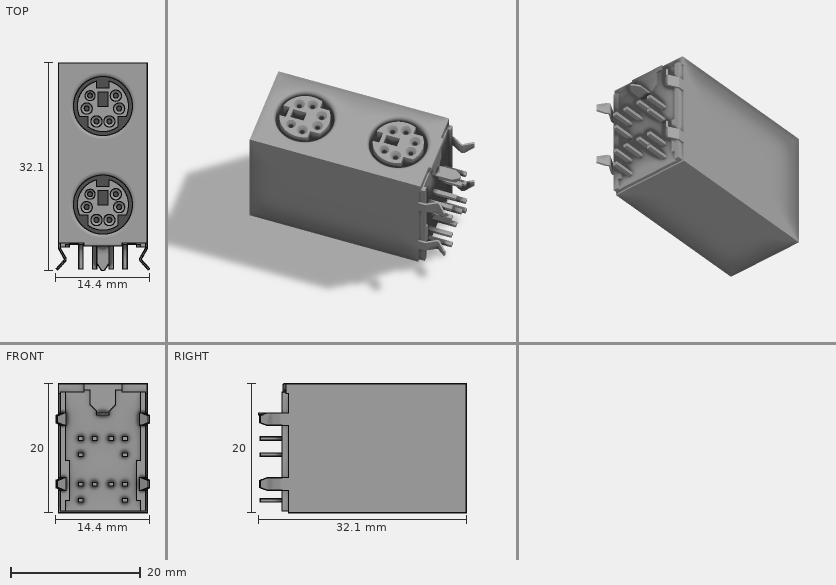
import cadquery as cq
import math


overall_width = 14.45
case_width = 13.75
case_height = 20.0
overall_length = 32.15
sheet = 0.3
tongue_reach = 4.63
case_length = overall_length - tongue_reach
lip_reach = 0.35
lip_height = 1.55
housing_half_width = case_width / 2 - sheet
housing_drop = 1.32
housing_top = case_height - housing_drop
face_reach = 0.55

rail_reach = 1.0
rail_inner_x = 5.8
wide_rail_inner_x = 5.18
wide_rail_bottom = 1.93
wide_rail_top = 8.07

tab_reach = 0.85
tab_half_width = 2.95
tab_drop = 1.0
tab_bend_radius = 0.3
plate_half_width = 1.95
plate_drop = 3.28
tongue_half_width = 0.95
tongue_drop = 4.82
point_start = 3.47
point_end = 4.4
point_half_width = 0.35

clip_width = 1.95
clip_tip_width = 1.03
clip_z = [case_height - drop for drop in (5.5, 15.53)]
clip_half_span = overall_width / 2
clip_bend_reach = 1.2
clip_knee_x = 5.9
clip_knee_reach = 2.9
clip_tip_reach = 4.3
clip_taper_start = 3.3
clip_inside_radius = 0.23

pin_reach = 4.37
pin_width = 0.7
pin_height = 0.55
outer_pin_x = 3.4
inner_pin_x = 1.3
upper_row_z = [case_height - drop for drop in (8.5, 15.55)]
row_spacing = 2.5

first_socket_y = 5.6
socket_count = 2
socket_spacing = 15.25
mouth_radius = 5.18
bore_radius = 4.55
mouth_round = mouth_radius - bore_radius
core_radius = 3.95
socket_depth = 7.07
key_half_width = 0.95
key_bottom_y = 2.8
notch_top_y = -1.65
notch_inner_x = 2.35
slot_width = 1.55
slot_height = 2.22
slot_bottom_y = -0.03
contact_radius = 0.4
contact_depth = 3.85
funnel_radius = 0.87
small_funnel_radius = 0.77
funnel_depth = 0.55
contacts = [
    (-2.0, 1.6, small_funnel_radius),
    (2.0, 1.6, funnel_radius),
    (-2.5, -0.4, funnel_radius),
    (2.5, -0.4, funnel_radius),
    (-1.0, -2.38, funnel_radius),
    (1.0, -2.38, funnel_radius),
]


def block(x_range, y_range, z_range):
    """Box between the given pairs of limits."""
    limits = (x_range, y_range, z_range)
    sizes = [high - low for low, high in limits]
    return cq.Workplane("XY").box(*sizes, centered=False).translate([low for low, high in limits])


def centered_block(half_width, y_range, z_range):
    """Box symmetric about the X = 0 plane."""
    return block((-half_width, half_width), y_range, z_range)


def mirrored_pair(solid):
    return solid.union(solid.mirror("YZ"))


def make_body():
    """Case with its upper front lip, and the housing face and rails."""
    case = centered_block(case_width / 2, (0, case_length), (0, case_height))
    lip = centered_block(case_width / 2, (-lip_reach, 0), (case_height - lip_height, case_height))
    lip = lip.cut(centered_block(
        housing_half_width, (-lip_reach, 0), (case_height - lip_height, housing_top)))
    housing = centered_block(housing_half_width, (-face_reach, sheet), (sheet, housing_top))
    rail = block((rail_inner_x, housing_half_width), (-rail_reach, 0), (sheet, housing_top))
    wide_rail = block(
        (wide_rail_inner_x, housing_half_width), (-rail_reach, 0), (wide_rail_bottom, wide_rail_top))
    housing = housing.union(centered_block(
        tab_half_width, (-face_reach, 0), (sheet, case_height - tab_drop)))
    return case.union(lip).union(housing).union(mirrored_pair(rail.union(wide_rail)))


def make_tongue():
    """Tab over the top edge, tapered plate down the face, and pointed tongue."""
    tab = centered_block(tab_half_width, (-tab_reach, 0), (case_height - tab_drop, case_height))
    tab = tab.edges("<Y and >Z").fillet(tab_bend_radius)

    taper_bottom = case_height - plate_drop - (plate_half_width - tongue_half_width)
    tongue_bottom = case_height - tongue_drop
    plate = (
        cq.Workplane("XZ", origin=(0, -face_reach, 0))
        .moveTo(-plate_half_width, case_height - tab_drop)
        .lineTo(-plate_half_width, case_height - plate_drop)
        .lineTo(-tongue_half_width, taper_bottom)
        .lineTo(-tongue_half_width, tongue_bottom)
        .lineTo(tongue_half_width, tongue_bottom)
        .lineTo(tongue_half_width, taper_bottom)
        .lineTo(plate_half_width, case_height - plate_drop)
        .lineTo(plate_half_width, case_height - tab_drop)
        .close()
        .extrude(tab_reach - face_reach)
    )
    tongue = (
        cq.Workplane("XY", origin=(0, 0, tongue_bottom))
        .moveTo(-tongue_half_width, -face_reach)
        .lineTo(-tongue_half_width, -point_start)
        .lineTo(-point_half_width, -point_end)
        .threePointArc((0, -tongue_reach), (point_half_width, -point_end))
        .lineTo(tongue_half_width, -point_start)
        .lineTo(tongue_half_width, -face_reach)
        .close()
        .extrude(sheet)
    )
    return tab.union(plate).union(tongue)


def make_clip():
    """Bent spring clip on the +X side, centred on Z = 0, narrowing to its tip."""
    outer_x = case_width / 2
    inner_x = outer_x - sheet
    first_lean = math.atan2(outer_x - clip_knee_x, clip_knee_reach - clip_bend_reach)
    second_lean = math.atan2(clip_half_span - clip_knee_x, clip_tip_reach - clip_knee_reach)
    inner_bend_y = -clip_bend_reach + sheet * math.tan(first_lean / 2)
    knee_miter = sheet / math.cos((first_lean + second_lean) / 2)
    miter_turn = (second_lean - first_lean) / 2
    inner_knee = (
        clip_knee_x - knee_miter * math.cos(miter_turn),
        -clip_knee_reach - knee_miter * math.sin(miter_turn),
    )
    inner_tip = (
        clip_half_span - sheet * math.cos(second_lean),
        -clip_tip_reach - sheet * math.sin(second_lean),
    )
    strip = (
        cq.Workplane("XY", origin=(0, 0, -clip_width / 2))
        .moveTo(outer_x, 0)
        .lineTo(outer_x, -clip_bend_reach)
        .lineTo(clip_knee_x, -clip_knee_reach)
        .lineTo(clip_half_span, -clip_tip_reach)
        .lineTo(*inner_tip)
        .lineTo(*inner_knee)
        .lineTo(inner_x, inner_bend_y)
        .lineTo(inner_x, 0)
        .close()
        .extrude(clip_width)
    )
    inside_corners = [(inner_x, inner_bend_y), (clip_knee_x, -clip_knee_reach)]
    outside_corners = [(outer_x, -clip_bend_reach), inner_knee]
    for corners, radius in ((inside_corners, clip_inside_radius),
                            (outside_corners, clip_inside_radius + sheet)):
        for corner in corners:
            bend_edge = cq.selectors.NearestToPointSelector((*corner, 0))
            strip = strip.edges(bend_edge).fillet(radius)
    clip_outline = (
        cq.Workplane("YZ")
        .moveTo(0, clip_width / 2)
        .lineTo(-clip_taper_start, clip_width / 2)
        .lineTo(inner_tip[1], clip_tip_width / 2)
        .lineTo(inner_tip[1], -clip_tip_width / 2)
        .lineTo(-clip_taper_start, -clip_width / 2)
        .lineTo(0, -clip_width / 2)
        .close()
        .extrude(clip_half_span)
    )
    return strip.intersect(clip_outline)


def make_pins():
    """Two groups of six pins: a row of four above a row of two."""
    places = []
    for row_z in upper_row_z:
        places += [(x, row_z) for x in (-outer_pin_x, -inner_pin_x, inner_pin_x, outer_pin_x)]
        places += [(x, row_z - row_spacing) for x in (-outer_pin_x, outer_pin_x)]
    return cq.Workplane("XZ").pushPoints(places).rect(pin_width, pin_height).extrude(pin_reach)


def make_core():
    """Keyed plug core standing in the socket bore, its top at Z = 0."""
    depth_range = (-socket_depth, 0)
    core = cq.Workplane("XY").circle(core_radius).extrude(-socket_depth)
    key = centered_block(key_half_width, (key_bottom_y, core_radius), depth_range)
    notch = block((notch_inner_x, core_radius), (-core_radius, notch_top_y), depth_range)
    slot = (
        cq.Workplane("XY")
        .center(0, slot_bottom_y + slot_height / 2)
        .rect(slot_width, slot_height)
        .extrude(-socket_depth)
    )
    core = core.cut(key).cut(mirrored_pair(notch)).cut(slot)
    for x, y, rim_radius in contacts:
        hole = cq.Workplane("XY").center(x, y).circle(contact_radius).extrude(-contact_depth)
        funnel = (
            cq.Workplane("XY")
            .center(x, y)
            .circle(rim_radius)
            .workplane(offset=-funnel_depth)
            .circle(contact_radius)
            .loft()
        )
        core = core.cut(hole).cut(funnel)
    return core


def make_socket_cavity():
    """Space removed for one socket: the rounded mouth and bore around the core."""
    bore = (
        cq.Workplane("XZ")
        .moveTo(0, 0)
        .lineTo(mouth_radius, 0)
        .radiusArc((bore_radius, -mouth_round), -mouth_round)
        .lineTo(bore_radius, -socket_depth)
        .lineTo(0, -socket_depth)
        .close()
        .revolve(360, (0, 0, 0), (0, 1, 0))
    )
    return bore.cut(make_core())


result = make_body().union(make_tongue()).union(make_pins())

clip = make_clip()
for z in clip_z:
    result = result.union(mirrored_pair(clip.translate((0, 0, z))))

cavity = make_socket_cavity()
for socket in range(socket_count):
    result = result.cut(cavity.translate((0, first_socket_y + socket * socket_spacing, case_height)))